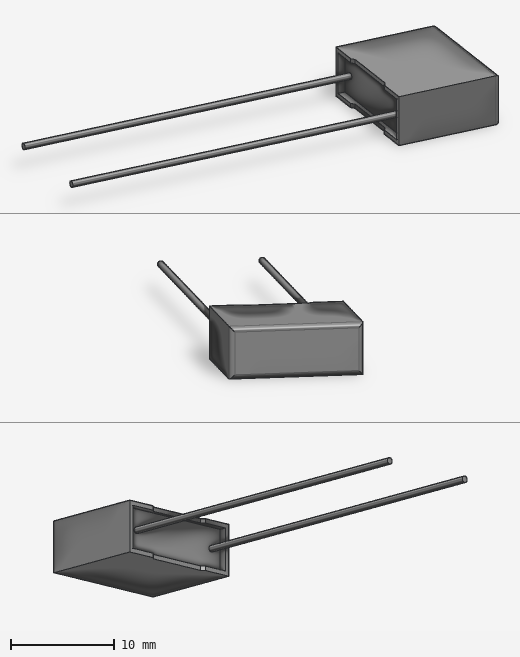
import cadquery as cq


case_width = 13.2
case_height = 5.21
case_length = 11.1
wall = 0.45
back_edge_radius = 0.5

notch_depth = 0.3
notch_rim_width = 7.0
notch_floor_width = 6.25

fill_recess = 0.75
cavity_width = case_width - 2 * wall
cavity_height = case_height - 2 * wall
cavity_depth = case_length - wall

lead_diameter = 0.65
lead_pitch = 10.0
overall_length = 46.1
lead_reach = overall_length - case_length


def block_along_y(width, height, y_front, y_back):
    """Box centred on X and Z that spans y_front to y_back."""
    return (
        cq.Workplane("XY")
        .box(width, y_back - y_front, height, centered=(True, False, True))
        .translate((0, y_front, 0))
    )


def rim_notch():
    """Trapezoidal cutter that crosses both the upper and the lower rim."""
    return (
        cq.Workplane("XY")
        .polyline([
            (-notch_rim_width / 2, 0),
            (notch_rim_width / 2, 0),
            (notch_floor_width / 2, notch_depth),
            (-notch_floor_width / 2, notch_depth),
        ])
        .close()
        .extrude(case_height / 2, both=True)
    )


def make_case():
    shell = block_along_y(case_width, case_height, 0, case_length)
    shell = shell.faces(">Y").edges().fillet(back_edge_radius)
    cavity = block_along_y(cavity_width, cavity_height, 0, cavity_depth)
    return shell.cut(cavity).cut(rim_notch())


def make_fill():
    return block_along_y(cavity_width, cavity_height, fill_recess, cavity_depth)


def make_lead(x):
    """Round wire from the face of the fill out to the lead tip."""
    return (
        cq.Workplane("XZ", origin=(x, fill_recess, 0))
        .circle(lead_diameter / 2)
        .extrude(fill_recess + lead_reach)
    )


case = make_case()
fill = make_fill()
leads = [make_lead(side * lead_pitch / 2) for side in (-1, 1)]

result = cq.Compound.makeCompound([
    case.val(),
    fill.val(),
    *[lead.val() for lead in leads],
])